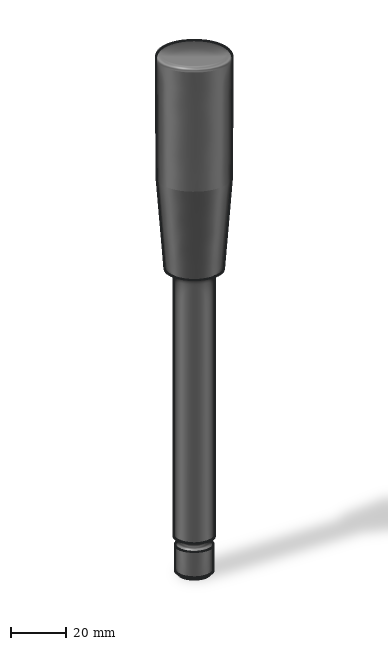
import cadquery as cq

total_length = 205.0
stud_length = 15.0
grip_length = 85.0
grip_upper_length = 49.0
stud_chamfer = 1.5
stud_body_top = 11.5

stud_diameter = 14.0
neck_diameter = 11.8
rod_diameter = 15.0
grip_bottom_diameter = 21.6
grip_middle_diameter = 27.4
grip_top_diameter = 28.0

grip_top_fillet = 2.0
grip_bottom_fillet = 0.5


def make_stud_and_rod():
    """Chamfered stud with a round neck groove below the shoulder of a plain rod."""
    rod_radius = rod_diameter / 2
    stud_radius = stud_diameter / 2
    neck_radius = neck_diameter / 2
    rod_top = total_length - grip_length
    neck_depth = stud_radius - neck_radius
    upper_arc_radius = rod_radius - neck_radius
    neck_height = stud_length - upper_arc_radius
    lower_arc_height = neck_height - stud_body_top
    lower_arc_radius = (lower_arc_height**2 + neck_depth**2) / (2 * neck_depth)
    return (
        cq.Workplane("XZ")
        .moveTo(0, 0)
        .lineTo(stud_radius - stud_chamfer, 0)
        .lineTo(stud_radius, stud_chamfer)
        .lineTo(stud_radius, stud_body_top)
        .radiusArc((neck_radius, neck_height), lower_arc_radius)
        .radiusArc((rod_radius, stud_length), upper_arc_radius)
        .lineTo(rod_radius, rod_top)
        .lineTo(0, rod_top)
        .close()
        .revolve(360, (0, 0), (0, 1))
    )


def make_grip():
    """Round grip: a nearly straight upper part above a stronger lower taper."""
    grip_bottom = total_length - grip_length
    grip_middle = total_length - grip_upper_length
    grip = (
        cq.Workplane("XZ")
        .moveTo(0, grip_bottom)
        .lineTo(grip_bottom_diameter / 2, grip_bottom)
        .lineTo(grip_middle_diameter / 2, grip_middle)
        .lineTo(grip_top_diameter / 2, total_length)
        .lineTo(0, total_length)
        .close()
        .revolve(360, (0, 0), (0, 1))
    )
    grip = grip.faces(">Z").edges().fillet(grip_top_fillet)
    return grip.faces("<Z").edges().fillet(grip_bottom_fillet)


result = make_stud_and_rod().union(make_grip())